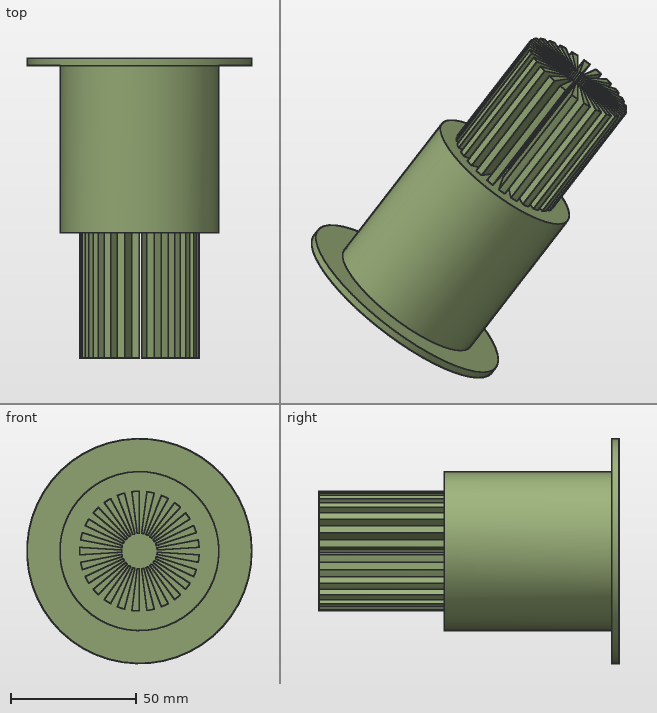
import cadquery as cq
import math

total_length = 120.0
flange_thickness = 3.0
fin_length = 50.0
body_length = total_length - fin_length - flange_thickness

flange_diameter = 90.0
body_diameter = 63.6
fin_outer_diameter = 47.9
fin_inner_diameter = 14.3
fin_outer_radius = fin_outer_diameter / 2
fin_inner_radius = fin_inner_diameter / 2

fin_count = 25
fin_pitch = 360.0 / fin_count
fin_angle = fin_pitch / 2
first_fin_direction = 180.0


def polar_point(radius, degrees):
    """Point in the XZ plane at the given distance and direction from the axis."""
    angle = math.radians(degrees)
    return (radius * math.cos(angle), radius * math.sin(angle))


def make_fin(direction):
    """One wedge-shaped fin standing on the end face of the body, centred on the given direction."""
    start = direction - fin_angle / 2
    end = direction + fin_angle / 2
    return (
        cq.Workplane("XZ", origin=(0, -(flange_thickness + body_length), 0))
        .moveTo(*polar_point(fin_inner_radius, start))
        .lineTo(*polar_point(fin_outer_radius, start))
        .threePointArc(polar_point(fin_outer_radius, direction), polar_point(fin_outer_radius, end))
        .lineTo(*polar_point(fin_inner_radius, end))
        .threePointArc(polar_point(fin_inner_radius, direction), polar_point(fin_inner_radius, start))
        .close()
        .extrude(fin_length)
    )


flange = cq.Workplane("XZ").circle(flange_diameter / 2).extrude(flange_thickness)
result = flange.faces("<Y").workplane().circle(body_diameter / 2).extrude(body_length)

for index in range(fin_count):
    result = result.union(make_fin(first_fin_direction + index * fin_pitch))